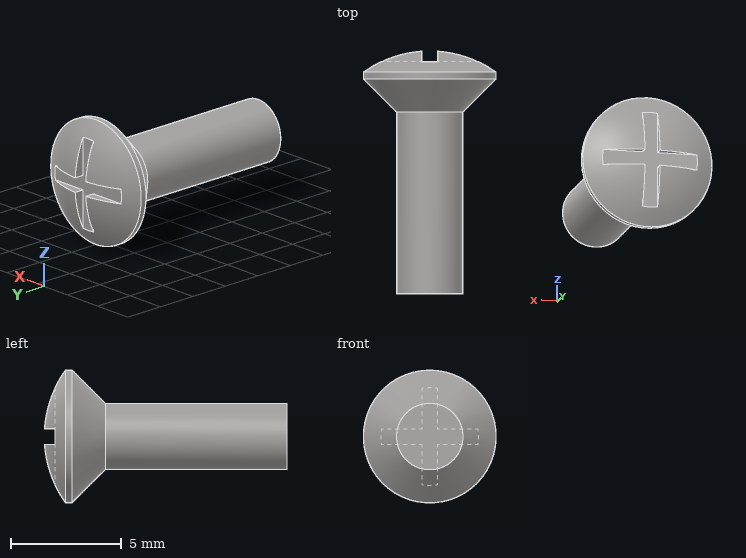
import cadquery as cq
import math

shank_diameter = 3.0
head_diameter = 6.0
shank_length = 8.2
rim_thickness = 0.3
dome_radius = 5.1
slot_width = 0.7
slot_depth = 0.5

shank_radius = shank_diameter / 2
head_radius = head_diameter / 2
cone_height = head_radius - shank_radius

cone_end_y = shank_length + cone_height
rim_end_y = cone_end_y + rim_thickness
dome_center_y = rim_end_y - math.sqrt(dome_radius**2 - head_radius**2)
dome_apex_y = dome_center_y + dome_radius


def dome_y(radius):
    """Y of the dome surface at a given distance from the axis."""
    return dome_center_y + math.sqrt(dome_radius**2 - radius**2)


def make_body():
    """Shank, countersink, rim and dome, revolved about the Y axis."""
    dome_middle_radius = head_radius / 2
    return (
        cq.Workplane("ZY")
        .moveTo(0, 0)
        .lineTo(shank_radius, 0)
        .lineTo(shank_radius, shank_length)
        .lineTo(head_radius, cone_end_y)
        .lineTo(head_radius, rim_end_y)
        .threePointArc((dome_middle_radius, dome_y(dome_middle_radius)), (0, dome_apex_y))
        .close()
        .revolve(360, (0, 0), (0, 1))
    )


def make_slot(size_x, size_z):
    """Cutter centred on the axis, as far above the dome apex as below it."""
    return cq.Workplane("XY").box(size_x, 2 * slot_depth, size_z).translate((0, dome_apex_y, 0))


result = (
    make_body()
    .cut(make_slot(head_diameter, slot_width))
    .cut(make_slot(slot_width, head_diameter))
)